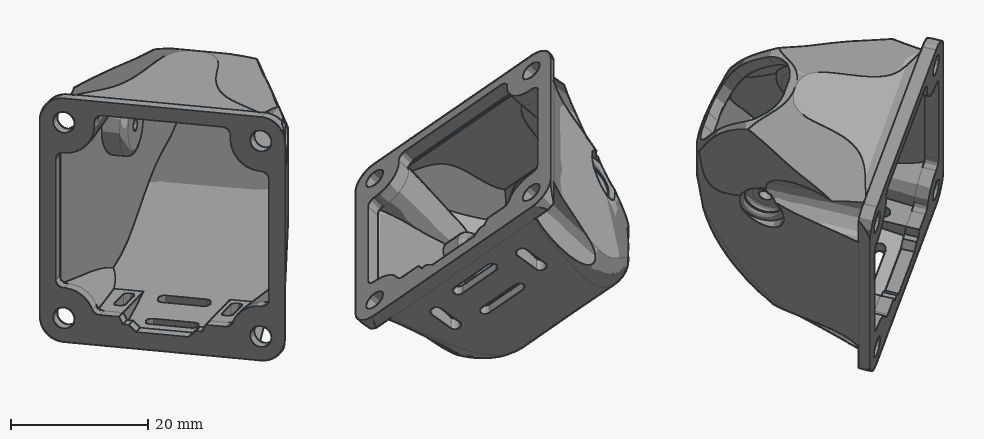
import cadquery as cq
import math

FLANGE_HALF = 37.39 / 2
FLANGE_THICKNESS = 2.1
FLANGE_CORNER_RADIUS = 3.7
SCREW_OFFSET = 15.0
SCREW_HOLE_DIAMETER = 3.2

PEAK_Z = 40.79 - FLANGE_HALF
REAR_Y = 31.13
PEAK_Y = 17.0
REAR_Z = 8.3
REAR_BOW_HALF = 8.0
REAR_BOW_Y = 29.4
WALL = 1.3
FLOOR_WALL = 1.9
BELLY_EDGE_RADIUS = 3.5

CHANNEL_RADIUS = 3.5
CHANNEL_TAPER = 3.5
CHANNEL_END_Y = 18.0
CHANNEL_WALL = 1.15

OUTLET_HALF_WIDTH = 6.2
OUTLET_CORNER_RADIUS = 5.0
OUTLET_WALL = 1.25
OUTLET_RISE = 3.0
OUTLET_DEPTH = 16.0
RIM_LENGTH = math.hypot(REAR_Y - PEAK_Y, PEAK_Z - REAR_Z)

MOUTH_HALF_WIDTH = 16.25
MOUTH_TOP = 16.6
MOUTH_BOTTOM = -14.0
MOUTH_CORNER_RADIUS = 1.2

FLOOR_HALF_WIDTH = 6.6
STEP_OUTER_HALF_WIDTH = 6.0
STEP_INNER_HALF_WIDTH = 5.1
STEP_Z = -15.1
FLOOR_FLAT_HALF_WIDTH = 4.0
FLOOR_Z = -16.1

SLOT_WIDTH = 1.7
CROSS_SLOT_LENGTH = 8.0
CROSS_SLOT_YS = (5.0, 11.1)
LONG_SLOT_LENGTH = 6.0
LONG_SLOT_X = 8.2
LONG_SLOT_Y = 8.0

SEAT_Y = 18.2
SEAT_Z = 9.55
SEAT_HOLE_DIAMETER = 2.0
SEAT_FLOOR_RADIUS = 2.0
SEAT_RADIUS = 2.9
SEAT_RIM_RADIUS = 3.8
SEAT_FLOOR_X = 11.0
SEAT_MOUTH_X = 12.6
SEAT_INNER_X = 9.6
SEAT_BOSS_RADIUS = 4.8
SEAT_BOSS_ROUNDING = 1.0

OVERSIZE = 60.0


def extrude_through(profile):
    """Extrude a profile equally to both sides of its plane, without a seam."""
    return profile.extrude(2 * OVERSIZE).translate(profile.plane.zDir * -OVERSIZE)


def inset_outline(points, inset):
    """Move each corner of a counterclockwise outline inward by the inset."""
    moved = []
    for i, (u, v) in enumerate(points):
        before = points[i - 1]
        after = points[(i + 1) % len(points)]
        heading_in = math.atan2(v - before[1], u - before[0])
        turn = math.remainder(math.atan2(after[1] - v, after[0] - u) - heading_in, 2 * math.pi)
        inward = heading_in + turn / 2 + math.pi / 2
        reach = inset / math.cos(turn / 2)
        moved.append((u + reach * math.cos(inward), v + reach * math.sin(inward)))
    return moved


def mirrored(points):
    """Points in reverse order, mirrored across the second axis."""
    return [(-u, v) for u, v in reversed(points)]


def side_profile(inset):
    """Silhouette of the hood in the YZ plane."""
    belly = [(0, -FLANGE_HALF), (7, -17.5), (12.4, -16), (19, -13), (24.9, -7), (29, 1.3)]
    back = [(REAR_Y, REAR_Z), (29.6, 11.4), (26.6, 16.4), (22, 20.0)]
    top = [(PEAK_Y, PEAK_Z), (11, 21.3), (5.8, 20.5), (FLANGE_THICKNESS, FLANGE_HALF)]
    points = inset_outline(belly + back + top + [(0, FLANGE_HALF)], inset)
    back_start = len(belly)
    top_start = back_start + len(back)
    return (
        cq.Workplane("YZ")
        .moveTo(*points[0])
        .spline(points[1:back_start + 1], includeCurrent=True)
        .spline(points[back_start + 1:top_start + 1], includeCurrent=True)
        .spline(points[top_start + 1:-1], includeCurrent=True)
        .lineTo(*points[-1])
        .close()
    )


def flanks_profile(inset):
    """Flared side walls of the hood in the XY plane, running past its rear."""
    flank = [(FLANGE_HALF, 0), (17.3, 2.6), (15.0, 11.7), (12.7, 21), (11.9, 24.2), (9.7, 28)]
    flank += [(8.0, 29.2), (6.0, 33)]
    points = inset_outline(flank + mirrored(flank), inset)
    middle = len(flank)
    return (
        cq.Workplane("XY")
        .moveTo(*points[0])
        .spline(points[1:middle], includeCurrent=True)
        .lineTo(*points[middle])
        .spline(points[middle + 1:], includeCurrent=True)
        .close()
    )


def rear_profile(inset):
    """Bowed rear wall of the hood in the XY plane."""
    return (
        cq.Workplane("XY")
        .moveTo(FLANGE_HALF, 0)
        .lineTo(FLANGE_HALF, REAR_BOW_Y - inset)
        .lineTo(REAR_BOW_HALF, REAR_BOW_Y - inset)
        .threePointArc((0, REAR_Y - inset), (-REAR_BOW_HALF, REAR_BOW_Y - inset))
        .lineTo(-FLANGE_HALF, REAR_BOW_Y - inset)
        .lineTo(-FLANGE_HALF, 0)
        .close()
    )


def front_profile(inset):
    """Rounded flange outline with the arched crown, in the XZ plane."""
    r = FLANGE_CORNER_RADIUS - inset
    half = FLANGE_HALF - inset
    crown = [(FLANGE_HALF, SCREW_OFFSET), (17.2, 17.2), (13, 18.9), (7, 20.4), (4.5, 21.5)]
    crown = [(x - inset * x / FLANGE_HALF, z - inset) for x, z in crown]
    return (
        cq.Workplane("XZ", origin=(0, FLANGE_THICKNESS, 0))
        .moveTo(half - r, -half)
        .radiusArc((half, r - half), -r)
        .lineTo(*crown[0])
        .spline(crown[1:] + [(0, PEAK_Z - inset)] + mirrored(crown), includeCurrent=True)
        .lineTo(-half, r - half)
        .radiusArc((r - half, -half), -r)
        .close()
    )


def outlet_plane(height):
    """Plane facing along the outlet, offset from the chord of its rim."""
    shift = height * math.sqrt(0.5)
    origin = (0, (PEAK_Y + REAR_Y) / 2 + shift, (PEAK_Z + REAR_Z) / 2 + shift)
    return cq.Workplane(cq.Plane(origin, xDir=(1, 0, 0), normal=(0, 1, 1)))


def shoulders(inset):
    """Block along the rim chord whose flanks sweep outward below the outlet rim."""
    flare = [(7.2, 0), (8.9, -3), (12.4, -8), (14.8, -12), (19.5, -17.5)]
    flare = [(x - inset, height) for x, height in flare]
    chord_plane = cq.Plane(outlet_plane(OUTLET_RISE).plane.origin, xDir=(1, 0, 0), normal=(0, -1, 1))
    half = [(OVERSIZE, flare[-1][1])] + flare[::-1]
    return extrude_through(
        cq.Workplane(chord_plane)
        .moveTo(-OVERSIZE, -OVERSIZE)
        .lineTo(OVERSIZE, -OVERSIZE)
        .lineTo(*half[0])
        .lineTo(*half[1])
        .spline(half[2:], includeCurrent=True)
        .lineTo(-flare[0][0], 0)
        .spline([(-x, height) for x, height in flare[1:]], includeCurrent=True)
        .lineTo(-OVERSIZE, flare[-1][1])
        .close()
    )


def square_hood(side_inset, belly_inset):
    """Hood with sharp edges between the belly and the side walls."""
    side = extrude_through(side_profile(belly_inset))
    return side.intersect(extrude_through(flanks_profile(side_inset)))


def behind_flange(body):
    """The part of a body that lies behind the flange."""
    return body.cut(centered_box(OVERSIZE, -OVERSIZE, FLANGE_THICKNESS, -OVERSIZE, OVERSIZE))


def round_belly_edges(body):
    """Round the two long outer edges between the belly and the side walls."""
    lowest_inside = FLOOR_WALL / 2 - FLANGE_HALF
    edges = []
    for edge in body.edges("(not |X) and (not |Z)").vals():
        extent = edge.BoundingBox()
        if extent.zmin < lowest_inside and extent.ymax > PEAK_Y:
            edges.append(edge)
    return body.newObject(edges).fillet(BELLY_EDGE_RADIUS)


def trim_hood(body, inset):
    """Trim a body to the bowed rear, the flange outline with its crown, and the shoulders."""
    body = body.intersect(extrude_through(rear_profile(inset)), clean=False)
    body = body.intersect(front_profile(inset).extrude(-OVERSIZE), clean=False)
    return body.intersect(shoulders(inset), clean=False)


def along_y(y_start, y_end):
    """XZ workplane at y_start and the extrusion that reaches y_end."""
    return cq.Workplane("XZ", origin=(0, y_start, 0)), y_start - y_end


def at_screws(radius, y_start, y_end, taper=0):
    """Four round pins on the axes of the flange screws, narrowing with the taper angle."""
    plane, length = along_y(y_start, y_end)
    centers = plane.rect(2 * SCREW_OFFSET, 2 * SCREW_OFFSET, forConstruction=True).vertices()
    return centers.circle(radius).extrude(length, taper=taper)


def channels(margin):
    """Tapered clearance for the screw heads, widened all round by the margin."""
    return at_screws(CHANNEL_RADIUS + margin, FLANGE_THICKNESS, CHANNEL_END_Y + margin, CHANNEL_TAPER)


def centered_box(half_width, y_start, y_end, z_bottom, z_top):
    """Box that is symmetric about X = 0."""
    size = (2 * half_width, y_end - y_start, z_top - z_bottom)
    return cq.Workplane("XY").box(*size, centered=(True, False, False)).translate((0, y_start, z_bottom))


def mouth():
    """Opening in the flange, scalloped at the screws and stepped at the floor."""
    opening = centered_box(MOUTH_HALF_WIDTH, 0, FLANGE_THICKNESS, MOUTH_BOTTOM, MOUTH_TOP)
    opening = opening.cut(at_screws(CHANNEL_RADIUS + CHANNEL_WALL, 0, FLANGE_THICKNESS))
    opening = opening.edges("|Y").fillet(MOUTH_CORNER_RADIUS)
    step = [
        (FLOOR_HALF_WIDTH, MOUTH_BOTTOM),
        (STEP_OUTER_HALF_WIDTH, STEP_Z),
        (STEP_INNER_HALF_WIDTH, STEP_Z),
        (FLOOR_FLAT_HALF_WIDTH, FLOOR_Z),
    ]
    plane, length = along_y(0, FLANGE_THICKNESS)
    notch = plane.polyline(step + mirrored(step)).close().extrude(length)
    return opening.union(notch)


def flange():
    """Square flange with the flared edges of the hood, the mouth and the screw holes."""
    plane, length = along_y(0, FLANGE_THICKNESS)
    plate = plane.rect(2 * FLANGE_HALF, 2 * FLANGE_HALF).extrude(length)
    plate = plate.edges("|Y").fillet(FLANGE_CORNER_RADIUS).intersect(square_hood(0, 0))
    return plate.cut(mouth()).cut(at_screws(SCREW_HOLE_DIAMETER / 2, 0, FLANGE_THICKNESS))


def cavity():
    """Hollow of the hood, with ledges, screw channel walls and seat bosses left standing."""
    hollow = behind_flange(square_hood(WALL, FLOOR_WALL))
    hollow = trim_hood(hollow, WALL)
    ledges = centered_box(OVERSIZE, 0, OVERSIZE, -OVERSIZE, MOUTH_BOTTOM)
    ledges = ledges.cut(centered_box(FLOOR_HALF_WIDTH, 0, OVERSIZE, -OVERSIZE, MOUTH_BOTTOM))
    hollow = hollow.cut(ledges)
    hollow = hollow.cut(channels(CHANNEL_WALL))
    return hollow.cut(seat_bosses())


def hood():
    """Hollow hood behind the flange, with its seats and floor slots."""
    shell = behind_flange(square_hood(0, 0)).cut(cavity(), clean=False)
    shell = shell.cut(seat_recesses(), clean=False).cut(floor_slots(), clean=False)
    shell = round_belly_edges(shell)
    return trim_hood(shell, 0)


def outlet():
    """Rounded rectangular passage through the slanted rim."""
    return (
        outlet_plane(-OUTLET_DEPTH)
        .rect(2 * OUTLET_HALF_WIDTH, RIM_LENGTH - 2 * OUTLET_WALL)
        .extrude(OVERSIZE)
        .edges(cq.selectors.ParallelDirSelector(cq.Vector(0, 1, 1)))
        .fillet(OUTLET_CORNER_RADIUS)
    )


def floor_slots():
    """Two crosswise slots in the floor and one lengthwise slot in each ledge."""
    plane = cq.Workplane("XY", origin=(0, 0, -OVERSIZE))
    height = OVERSIZE + MOUTH_BOTTOM + WALL
    cross = plane.pushPoints([(0, y) for y in CROSS_SLOT_YS])
    cross = cross.slot2D(CROSS_SLOT_LENGTH, SLOT_WIDTH).extrude(height)
    lengthwise = cq.Workplane(plane.plane).pushPoints([(side * LONG_SLOT_X, LONG_SLOT_Y) for side in (-1, 1)])
    lengthwise = lengthwise.slot2D(LONG_SLOT_LENGTH, SLOT_WIDTH, 90).extrude(height)
    return cross.union(lengthwise)


def on_both_sides(solid):
    """The solid together with its mirror image across X = 0."""
    return solid.union(solid.mirror("YZ"))


def seat_bosses():
    """Flat pads inside the side walls that back up the screw seats."""
    boss = cq.Workplane("YZ", origin=(SEAT_INNER_X, SEAT_Y, SEAT_Z))
    boss = boss.circle(SEAT_BOSS_RADIUS).extrude(OVERSIZE).faces("<X").edges().fillet(SEAT_BOSS_ROUNDING)
    return on_both_sides(boss)


def seat_recesses():
    """Round-edged screw seats with through holes in the side walls."""
    rim_round = SEAT_RIM_RADIUS - SEAT_RADIUS
    floor_round = SEAT_RADIUS - SEAT_FLOOR_RADIUS
    recess = (
        cq.Workplane("XY")
        .moveTo(0, SEAT_FLOOR_X)
        .lineTo(SEAT_FLOOR_RADIUS, SEAT_FLOOR_X)
        .radiusArc((SEAT_RADIUS, SEAT_FLOOR_X + floor_round), -floor_round)
        .lineTo(SEAT_RADIUS, SEAT_MOUTH_X - rim_round)
        .radiusArc((SEAT_RIM_RADIUS, SEAT_MOUTH_X), rim_round)
        .lineTo(SEAT_RIM_RADIUS, OVERSIZE)
        .lineTo(0, OVERSIZE)
        .close()
        .revolve(360, (0, 0), (0, 1))
        .rotate((0, 0, 0), (0, 0, 1), -90)
    )
    hole = cq.Workplane("YZ").circle(SEAT_HOLE_DIAMETER / 2).extrude(OVERSIZE)
    return on_both_sides(recess.union(hole).translate((0, SEAT_Y, SEAT_Z)))


result = hood().cut(channels(0), clean=False).cut(outlet(), clean=False).union(flange(), clean=False)